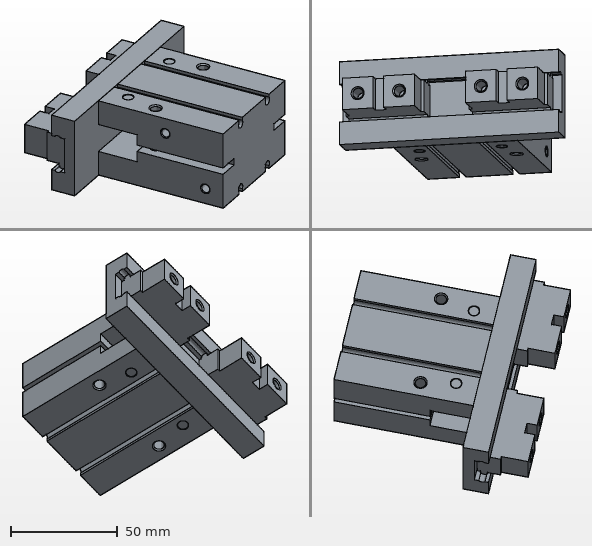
import cadquery as cq
import math

total_length = 97.0
height = 40.0

plate_width = 106.0
plate_front = 17.8
plate_back = 30.1
channel_height = 18.1
channel_floor = 24.6

bead_x = 21.0
bead_radius = 1.8
bead_reach = 9.9
bead_z = bead_reach - bead_radius

block_width = 59.9
block_step = 0.1
block_height = height - 2 * block_step
opening_end = 50.9
opening_height = 14.4

side_groove_width = 3.4
side_groove_depth = 10.6
sensor_slot_y = 12.9
sensor_neck_width = 3.3
sensor_neck_depth = 1.6
sensor_slot_radius = 2.0

mount_hole_x = 56.9
mount_hole_y = 23.0
mount_hole_diameter = 5.0
mount_hole_mouth = 6.3
port_places = [(65.9, 12.0), (87.5, -12.0)]
port_diameter = 4.2
port_mouth = 5.1
port_depth = 6.4
port_passage_diameter = 0.5
port_passage_length = 2.1
pin_seat_x = 40.5
pin_seat_y = 19.9
pin_seat_diameter = 5.0
pin_seat_mouth = 5.4

jaw_y = 29.8
jaw_width = 34.9
jaw_height = 15.2
jaw_back = 24.2
jaw_base_width = 37.8
jaw_base_front = 12.9
jaw_notch_width = 5.2
jaw_notch_depth = 4.9
jaw_hole_spacing = 20.0
jaw_hole_diameter = 5.0
jaw_hole_mouth = 6.3
jaw_hole_depth = 10.6


def block(x_start, x_end, width, tall):
    """Box between two X stations, centred on Y and Z."""
    return cq.Workplane("XY").box(x_end - x_start, width, tall).translate(((x_start + x_end) / 2, 0, 0))


def bead_rods(length):
    """Pair of rods along Y, above and below the middle plane."""
    return (
        cq.Workplane("XZ")
        .pushPoints([(bead_x, bead_z), (bead_x, -bead_z)])
        .circle(bead_radius)
        .extrude(length / 2, both=True)
    )


def hole_cutter(mouth, bore, depth):
    """Hole with a 45 degree countersink and a flat end, opening at Z = 0 and running down."""
    countersink = (mouth - bore) / 2
    return (
        cq.Workplane("XZ")
        .moveTo(0, 0)
        .lineTo(mouth / 2, 0)
        .lineTo(bore / 2, -countersink)
        .lineTo(bore / 2, -depth)
        .lineTo(0, -depth)
        .close()
        .revolve(360, (0, 0, 0), (0, 1, 0))
    )


def cut_jaw_channel(body):
    """Channel along the plate, with the two bead grooves in its walls."""
    channel = block(plate_front, channel_floor, plate_width, channel_height)
    return body.cut(channel).cut(bead_rods(plate_width))


def cut_side_grooves(body):
    """Rectangular groove along the middle of each block side."""
    inner_width = block_width - 2 * side_groove_depth
    bar = block(plate_back, total_length, block_width, side_groove_width)
    return body.cut(bar.cut(block(plate_back, total_length, inner_width, side_groove_width)))


def cut_sensor_slots(body):
    """Keyhole slots along the top and bottom of the block: a narrow neck over a round bottom."""
    length = total_length - plate_back
    drop = sensor_neck_depth + math.sqrt(sensor_slot_radius**2 - (sensor_neck_width / 2) ** 2)
    round_z = block_height / 2 - drop
    for side in (1, -1):
        for face in (1, -1):
            plane = cq.Workplane("YZ", origin=(plate_back, side * sensor_slot_y, face * round_z))
            body = body.cut(plane.circle(sensor_slot_radius).extrude(length))
            neck = plane.center(0, face * drop / 2).rect(sensor_neck_width, drop).extrude(length)
            body = body.cut(neck)
    return body


def cut_mount_holes(body):
    """Through holes, countersunk at the top and bottom faces."""
    outer_z = block_height / 2
    upper = hole_cutter(mount_hole_mouth, mount_hole_diameter, outer_z).translate((mount_hole_x, 0, outer_z))
    for side in (1, -1):
        for half in (upper, upper.mirror("XY")):
            body = body.cut(half.translate((0, side * mount_hole_y, 0)))
    return body


def cut_pin_seats(body):
    """Shallow tapered seats on the outer face of each arm."""
    seat_depth = (pin_seat_mouth - pin_seat_diameter) / 2
    seat = (
        cq.Workplane("XY", origin=(pin_seat_x, 0, block_height / 2))
        .circle(pin_seat_mouth / 2)
        .workplane(offset=-seat_depth)
        .circle(pin_seat_diameter / 2)
        .loft()
    )
    seats = seat.union(seat.mirror("XY"))
    for side in (1, -1):
        body = body.cut(seats.translate((0, side * pin_seat_y, 0)))
    return body


def cut_ports(body):
    """Flat-ended ports in the -Y side of the block, each leading into a fine air passage."""
    bore = hole_cutter(port_mouth, port_diameter, port_depth)
    passage = cq.Workplane("XY").circle(port_passage_diameter / 2).extrude(-port_depth - port_passage_length)
    cutter = bore.union(passage).rotate((0, 0, 0), (1, 0, 0), 90)
    for x, z in port_places:
        body = body.cut(cutter.translate((x, -block_width / 2, z)))
    return body


def make_housing():
    """Guide plate and block in one piece."""
    body = block(plate_front, plate_back, plate_width, height)
    body = body.union(block(plate_back, total_length, block_width, block_height))
    body = body.cut(block(plate_back, opening_end, block_width, opening_height))
    body = cut_jaw_channel(body)
    body = cut_side_grooves(body)
    body = cut_sensor_slots(body)
    body = cut_mount_holes(body)
    body = cut_pin_seats(body)
    return cut_ports(body)


def make_jaw(y):
    """Jaw with a wider beaded base, a notched front and two blind holes in its front face."""
    jaw = block(0, jaw_back, jaw_width, jaw_height)
    jaw = jaw.union(block(jaw_base_front, jaw_back, jaw_base_width, jaw_height))
    jaw = jaw.union(bead_rods(jaw_base_width))
    jaw = jaw.cut(block(0, jaw_notch_depth, jaw_notch_width, jaw_height))
    cutter = hole_cutter(jaw_hole_mouth, jaw_hole_diameter, jaw_hole_depth).rotate((0, 0, 0), (0, 1, 0), -90)
    for side in (1, -1):
        jaw = jaw.cut(cutter.translate((0, side * jaw_hole_spacing / 2, 0)))
    return jaw.translate((0, y, 0))


housing = make_housing()
jaws = [make_jaw(side * jaw_y) for side in (1, -1)]

result = cq.Compound.makeCompound([body.solids().val() for body in (housing, *jaws)])